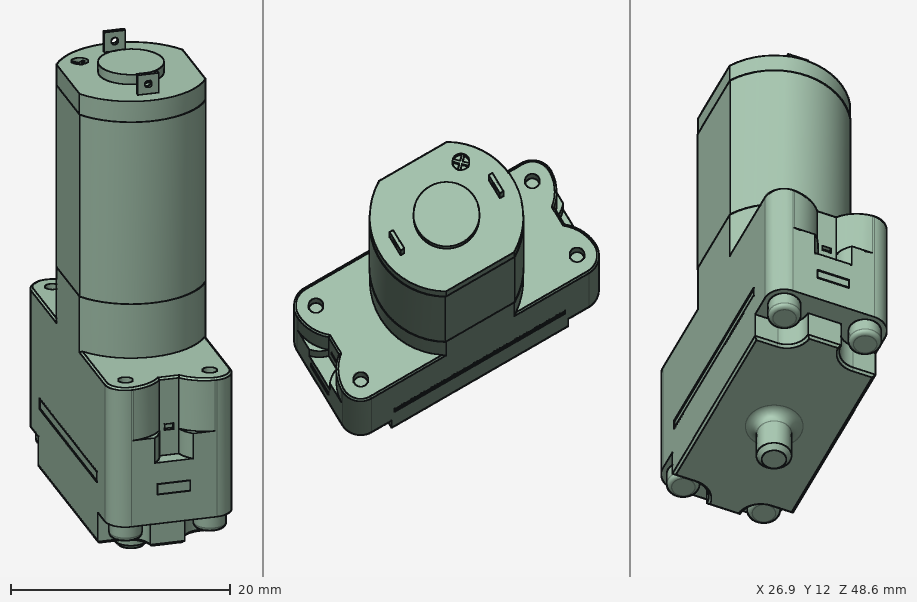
import cadquery as cq
import math

plinth_bottom = 4.45
housing_bottom = 7.6
housing_top = 21.3
can_bottom = 26.65
can_top = 44.6
cap_top = 46.65
boss_top = 47.65
terminal_top = 48.6

housing_length = 26.9
housing_width = 12.0
corner_radius = 1.95
top_chamfer = 0.2
bottom_chamfer = 0.25
screw_inset = 2.0
screw_x = housing_length / 2 - screw_inset
screw_y = housing_width / 2 - screw_inset
hole_radius = 0.7

plinth_length = 2 * screw_x
clearance_radius = 2.1
pad_half_width = 1.65

notch_depth = 1.5
notch_floor_half = 0.9
upper_notch_half = 3.9
upper_notch_bulge = 0.35
upper_notch_bottom = 16.1
lower_notch_bottom = 13.6
lower_notch_half = 1.85
lower_notch_bulge = 0.15
window_width = 0.87
window_height = 0.6
window_depth = 0.4

slot_bottom = 10.45
slot_height = 1.0
slot_depth = 0.1
front_slot_length = 18.1
end_slot_length = 3.1

shaft_radius = 1.6
shaft_fillet = 1.0
shaft_chamfer = 0.5

neck_radius = 7.0
can_radius = 7.05
boss_radius = 3.0
mark_offset = 3.75
mark_radius = 0.8
mark_depth = 0.75
cross_width = 0.25
cross_height = 0.5

terminal_x = 5.25
terminal_thickness = 0.4
terminal_width = 2.0
terminal_hole_radius = 0.35

head_radius = 1.5
head_height = 1.7
head_fillet = 0.45
shank_end = 19.45


def flatted_cylinder(radius, bottom, top):
    """Cylinder cut by two flats that lie flush with the long housing sides."""
    base = cq.Workplane("XY").workplane(offset=bottom)
    cylinder = base.circle(radius).extrude(top - bottom)
    flats = base.rect(2 * radius, housing_width).extrude(top - bottom)
    return cylinder.intersect(flats)


def notch_layer(mouth_half, bulge, bottom, top):
    """One level of the notch in the -X end, with flanks bowed into the opening."""
    mouth_x = -housing_length / 2
    floor_x = mouth_x + notch_depth
    return (
        cq.Workplane("XY")
        .workplane(offset=bottom)
        .moveTo(mouth_x, -mouth_half)
        .sagittaArc((floor_x, -notch_floor_half), bulge)
        .lineTo(floor_x, notch_floor_half)
        .sagittaArc((mouth_x, mouth_half), bulge)
        .close()
        .extrude(top - bottom)
    )


def end_notch():
    """Stepped notch in the -X end: wide above, narrower below, with a small pocket in its floor."""
    floor_x = notch_depth - housing_length / 2
    upper = notch_layer(upper_notch_half, upper_notch_bulge, upper_notch_bottom, housing_top)
    lower = notch_layer(lower_notch_half, lower_notch_bulge, lower_notch_bottom, upper_notch_bottom)
    window = cq.Workplane("XY").box(
        window_depth, window_width, window_height, centered=(False, True, False)
    ).translate((floor_x, 0, upper_notch_bottom))
    return upper.union(lower).union(window)


def corner_clearance():
    """Space around the screw head in the (-X, -Y) corner of the plinth."""
    arc_y = pad_half_width + clearance_radius
    wall_x = -screw_x + clearance_radius
    diagonal = clearance_radius * math.sqrt(0.5)
    return (
        cq.Workplane("XY")
        .workplane(offset=plinth_bottom)
        .moveTo(-screw_x, -housing_width)
        .lineTo(wall_x, -housing_width)
        .lineTo(wall_x, -arc_y)
        .threePointArc((-screw_x + diagonal, -arc_y + diagonal), (-screw_x, -pad_half_width))
        .close()
        .extrude(housing_bottom - plinth_bottom)
    )


def build_plinth():
    """Block under the housing with all four corners cleared for the screw heads."""
    plinth = (
        cq.Workplane("XY")
        .workplane(offset=plinth_bottom)
        .rect(plinth_length, housing_width)
        .extrude(housing_bottom - plinth_bottom)
    )
    clearance = corner_clearance()
    back_clearance = clearance.mirror("XZ")
    for tool in (clearance, back_clearance):
        plinth = plinth.cut(tool).cut(tool.mirror("YZ"))
    return plinth.faces("<Z").chamfer(bottom_chamfer)


def build_shaft():
    """Output shaft, flaring out into the underside of the plinth."""
    flare_radius = shaft_radius + shaft_fillet
    diagonal = shaft_fillet * math.sqrt(0.5)
    return (
        cq.Workplane("XZ")
        .lineTo(-shaft_radius + shaft_chamfer, 0)
        .lineTo(-shaft_radius, shaft_chamfer)
        .lineTo(-shaft_radius, plinth_bottom - shaft_fillet)
        .threePointArc(
            (-flare_radius + diagonal, plinth_bottom - shaft_fillet + diagonal),
            (-flare_radius, plinth_bottom),
        )
        .lineTo(0, plinth_bottom)
        .close()
        .revolve(360, (0, 0, 0), (0, 1, 0))
    )


def cut_slots(body):
    """Cut one shallow slot into each of the four sides of the housing."""
    front_slot = cq.Workplane("XY").box(
        front_slot_length, slot_depth, slot_height, centered=(True, False, False)
    ).translate((0, -housing_width / 2, slot_bottom))
    end_slot = cq.Workplane("XY").box(
        slot_depth, end_slot_length, slot_height, centered=(False, True, False)
    ).translate((-housing_length / 2, 0, slot_bottom))
    body = body.cut(front_slot).cut(front_slot.mirror("XZ"))
    return body.cut(end_slot).cut(end_slot.mirror("YZ"))


def build_housing():
    """Gearbox housing in one piece with its motor neck, plinth and shaft."""
    notch = end_notch()
    housing = (
        cq.Workplane("XY")
        .workplane(offset=housing_bottom)
        .rect(housing_length, housing_width)
        .extrude(housing_top - housing_bottom)
        .edges("|Z")
        .fillet(corner_radius)
        .cut(notch)
        .cut(notch.mirror("YZ"))
        .faces(">Z")
        .chamfer(top_chamfer)
    )
    housing = housing.union(flatted_cylinder(neck_radius, housing_bottom, can_bottom))
    housing = cut_slots(housing)
    housing = housing.union(build_plinth())
    housing = housing.union(build_shaft())
    holes = (
        cq.Workplane("XY")
        .workplane(offset=housing_bottom)
        .rect(2 * screw_x, 2 * screw_y, forConstruction=True)
        .vertices()
        .circle(hole_radius)
        .extrude(housing_top - housing_bottom)
    )
    return housing.cut(holes)


def build_cap():
    """Motor end cap with its round boss and a recessed polarity cross."""
    cap = flatted_cylinder(neck_radius, can_top, cap_top)
    boss = cq.Workplane("XY").workplane(offset=cap_top).circle(boss_radius).extrude(boss_top - cap_top)
    floor = cq.Workplane("XY").workplane(offset=cap_top - mark_depth)
    recess = floor.circle(mark_radius).extrude(mark_depth)
    bar = floor.rect(2 * mark_radius, cross_width).extrude(cross_height)
    cross = bar.union(bar.rotate((0, 0, 0), (0, 0, 1), 90)).intersect(recess)
    mark = recess.cut(cross).rotate((0, 0, 0), (0, 0, 1), 45)
    return cap.union(boss).cut(mark.translate((-mark_offset, -mark_offset, 0)))


def build_terminal(x):
    """Upright terminal blade with a hole through its middle."""
    height = terminal_top - cap_top
    blade = cq.Workplane("YZ").rect(terminal_width, height).circle(terminal_hole_radius)
    return blade.extrude(terminal_thickness / 2, both=True).translate((x, 0, cap_top + height / 2))


def build_screw(x, y):
    """Screw with a rounded head below the housing and a shank inside its hole."""
    head = (
        cq.Workplane("XY")
        .workplane(offset=housing_bottom - head_height)
        .circle(head_radius)
        .extrude(head_height)
        .faces("<Z")
        .edges()
        .fillet(head_fillet)
    )
    shank = (
        cq.Workplane("XY")
        .workplane(offset=housing_bottom)
        .circle(hole_radius)
        .extrude(shank_end - housing_bottom)
    )
    return head.union(shank).translate((x, y, 0))


housing = build_housing()
motor_can = flatted_cylinder(can_radius, can_bottom, can_top)
end_cap = build_cap()
terminals = [build_terminal(x).val() for x in (-terminal_x, terminal_x)]
screws = [build_screw(x, y).val() for x in (-screw_x, screw_x) for y in (-screw_y, screw_y)]

result = cq.Compound.makeCompound(
    [housing.val(), motor_can.val(), end_cap.val(), *terminals, *screws]
)